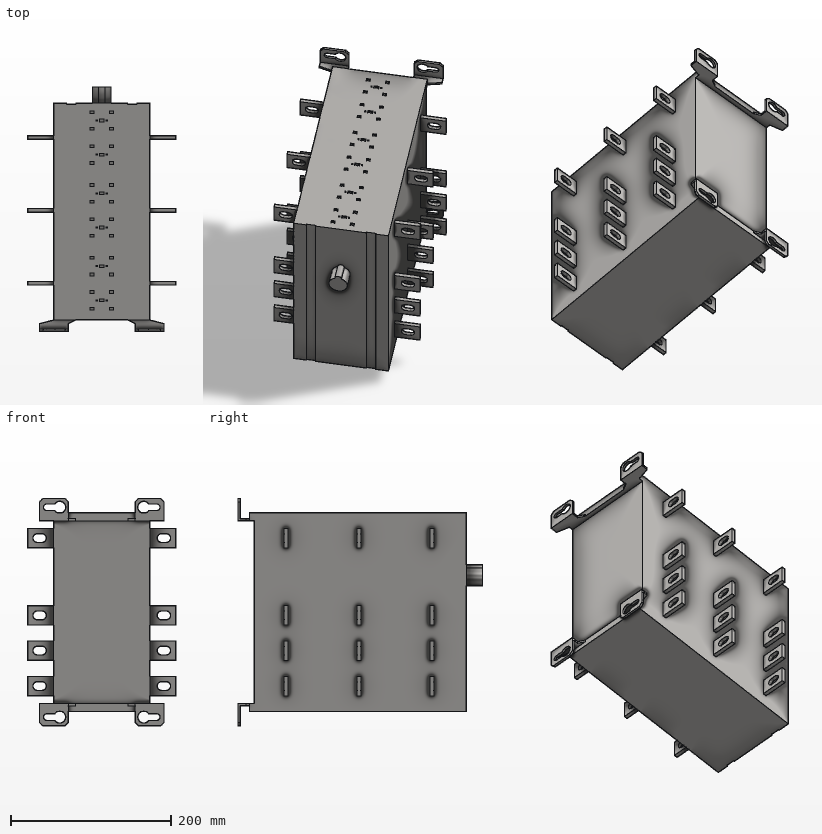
import cadquery as cq

body_width = 120.5
body_height = 248.7
body_back = 132.5
body_front = -132.5

lip_front = -138.5
lip_height = 10.5
lip_inner = body_height / 2 - lip_height

groove_offset = 38.2
groove_width = 11.5
groove_depth = 1.2

lug_span = 185.0
lug_height = 24.5
lug_thickness = 5.0
lug_rows = [92.5, -4.0, -48.0, -92.3]
pole_pitch = 91.0
pole_middle = -1.5
pole_positions = [pole_middle + i * pole_pitch for i in (1, 0, -1)]
lug_slot_length = 16.5
lug_slot_width = 10.7
lug_slot_offset = 77.5

front_limit = -152.8
sheet = 3.0
foot_inner = 41.5
foot_outer = 78.0
foot_root = 32.7
foot_shoulder = -143.0
ear_top = 142.0
ear_chamfer = 4.3
keyhole_height = 131.0
keyhole_offset = 52.5
keyhole_radius = 7.3
keyhole_slot_end = 68.7
keyhole_slot_radius = 4.0

shaft_end = 152.8
shaft_radius = 11.5
shaft_height = 44.5
key_radius = 4.3
key_height = 55.3

group_offset = 21.5
pocket_depth = 1.5
corner_pocket_x = 12.2
corner_pocket_y = 10.5
corner_pocket_size = (4.5, 3.5)
centre_pocket_size = (6.0, 3.5)
side_pocket_x = 6.0
side_pocket_size = (1.5, 1.2)


def block(x_range, y_range, z_range):
    """Box between the given limits on each axis."""
    (x0, x1), (y0, y1), (z0, z1) = x_range, y_range, z_range
    return cq.Workplane("XY").box(x1 - x0, y1 - y0, z1 - z0, centered=False).translate((x0, y0, z0))


def xz_plane(y):
    """Workplane facing +Y at the given depth, with local axes along -X and Z."""
    return cq.Workplane(cq.Plane(origin=(0, y, 0), xDir=(-1, 0, 0), normal=(0, 1, 0)))


def make_housing():
    half_width = body_width / 2
    half_height = body_height / 2
    x_range = (-half_width, half_width)
    housing = block(x_range, (body_front, body_back), (-half_height, half_height))
    top_lip = block(x_range, (lip_front, body_front), (lip_inner, half_height))
    housing = housing.union(top_lip).union(top_lip.mirror("XY"))
    grooves = (
        cq.Workplane("XY")
        .pushPoints([(-groove_offset, body_back), (groove_offset, body_back)])
        .rect(groove_width, 2 * groove_depth)
        .extrude(half_height, both=True)
    )
    return housing.cut(grooves)


def make_lug_bars():
    """Bars through the housing whose ends form the slotted lugs on both sides."""
    centres = [(0, z) for z in lug_rows]
    holes = [(side * lug_slot_offset, z) for z in lug_rows for side in (-1, 1)]
    half_thickness = lug_thickness / 2
    bars = xz_plane(0).pushPoints(centres).rect(lug_span, lug_height).extrude(half_thickness, both=True)
    slots = (
        xz_plane(0)
        .pushPoints(holes)
        .slot2D(lug_slot_length, lug_slot_width)
        .extrude(half_thickness, both=True)
    )
    return bars.cut(slots)


def make_foot():
    """Foot at the +X, +Z corner."""
    half_width = body_width / 2
    arm_outline = [
        (foot_root, body_front),
        (foot_root, lip_front),
        (foot_inner, foot_shoulder),
        (foot_inner, front_limit),
        (foot_outer, front_limit),
        (foot_outer, foot_shoulder),
        (half_width, lip_front),
        (half_width, body_front),
    ]
    arm = cq.Workplane("XY", origin=(0, 0, lip_inner)).polyline(arm_outline).close().extrude(sheet)
    ear = block((foot_inner, foot_outer), (front_limit, front_limit + sheet), (lip_inner, ear_top))
    ear = ear.edges("|Y and >Z").chamfer(ear_chamfer)

    slot_length = keyhole_slot_end - keyhole_offset
    slot_middle = (keyhole_slot_end + keyhole_offset) / 2
    slot = (
        xz_plane(front_limit)
        .center(-slot_middle, keyhole_height)
        .slot2D(slot_length + 2 * keyhole_slot_radius, 2 * keyhole_slot_radius)
        .extrude(sheet)
    )
    round_hole = (
        xz_plane(front_limit)
        .center(-keyhole_offset, keyhole_height)
        .circle(keyhole_radius)
        .extrude(sheet)
    )
    return arm.union(ear.cut(slot).cut(round_hole))


def make_shaft():
    length = shaft_end - body_back
    main = xz_plane(body_back).center(0, shaft_height).circle(shaft_radius).extrude(length)
    key = xz_plane(body_back).center(0, key_height).circle(key_radius).extrude(length)
    return main.union(key)


def make_pockets(points, size):
    """Rectangular cutters reaching down from the top face."""
    top = cq.Workplane("XY", origin=(0, 0, body_height / 2))
    return top.pushPoints(points).rect(*size).extrude(-pocket_depth)


result = make_housing()

for y in pole_positions:
    result = result.union(make_lug_bars().translate((0, y, 0)))

foot = make_foot()
upper_feet = foot.union(foot.mirror("YZ"))
result = result.union(upper_feet).union(upper_feet.mirror("XY"))

result = result.union(make_shaft())

group_centres = [y + side * group_offset for y in pole_positions for side in (-1, 1)]
corner_points = [
    (sx * corner_pocket_x, y + sy * corner_pocket_y)
    for y in group_centres
    for sx in (-1, 1)
    for sy in (-1, 1)
]
centre_points = [(0, y) for y in group_centres]
side_points = [(side * side_pocket_x, y) for y in group_centres for side in (-1, 1)]

result = result.cut(make_pockets(corner_points, corner_pocket_size))
result = result.cut(make_pockets(centre_points, centre_pocket_size))
result = result.cut(make_pockets(side_points, side_pocket_size))